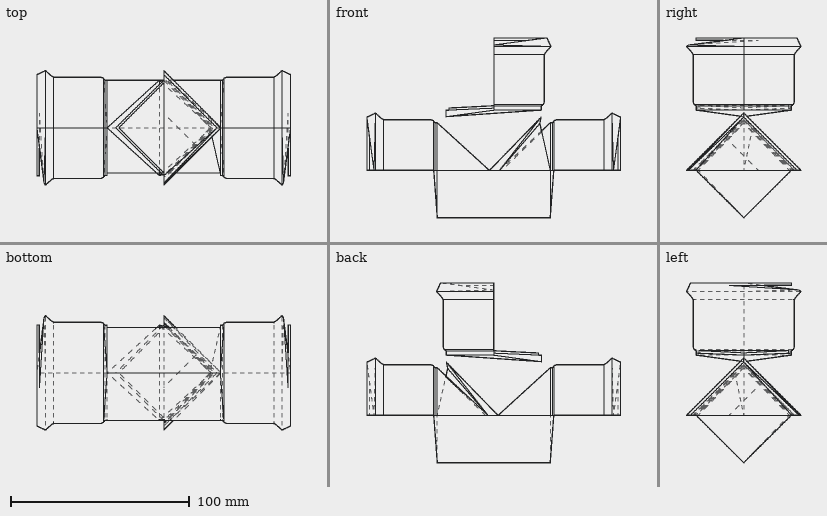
import cadquery as cq

half_run = 71.0
branch_height = 74.1
bead_radius = 32.1
mouth_radius = 29.8
sleeve_radius = 28.4
neck_radius = 26.7
sleeve_length = 39.3

bead_back = 4.8
bead_foot_back = 8.1
plain_start_back = 9.4
plain_end_back = 35.8
shoulder_back = 37.2
neck_back = 38.0
foot_step = 0.7
shoulder_drop = 0.5

plate_thickness = 1.4
plate_front_reach = 26.8
cut_back = 4.0
cut_reach = 31.0

saddle_half_length = half_run - sleeve_length
saddle_top_half_length = 33.7
saddle_depth = 26.5
saddle_front_reach = 25.4
valley_x = -2.4
roof_start_x = 3.3
peak_x = 26.5
peak_height = 29.8
slope_x = 25.8
slope_height = 26.3

skirt_tip = 26.8
skirt_inner_tip = 25.1
skirt_low = 30.0
skirt_tip_top = 33.7
skirt_inner_top = 35.0
skirt_back_top = 36.2


def polyhedron(points, faces):
    """Solid with flat faces, each given as the names of its corners in order."""
    flat_faces = []
    for corners in faces:
        outline = cq.Wire.makePolygon([cq.Vector(*points[name]) for name in corners], close=True)
        flat_faces.append(cq.Face.makeFromWires(outline))
    return cq.Workplane(cq.Solid.makeSolid(cq.Shell.makeShell(flat_faces)).fix())


def pyramid(base, apex):
    """Pyramid on a base polygon in the plane z = 0."""
    points = {f"b{i}": (x, y, 0) for i, (x, y) in enumerate(base)}
    names = list(points)
    sides = [(name, names[i - 1], "apex") for i, name in enumerate(names)]
    points["apex"] = apex
    return polyhedron(points, [names] + sides)


def triangle_wire(x, radius):
    """Right-angled section with its flat side on z = 0 and its ridge at z = radius."""
    corners = [(x, -radius, 0), (x, radius, 0), (x, 0, radius)]
    return cq.Wire.makePolygon([cq.Vector(*corner) for corner in corners], close=True)


def sleeve_lip():
    """Lip between the bead and the mouth, cut back on its -Y side."""
    points = {
        "bead_back": (-bead_back, bead_radius, 0),
        "bead_ridge": (-bead_back, 0, bead_radius),
        "bead_front": (-bead_back, -bead_radius, 0),
        "mouth_back": (0, mouth_radius, 0),
        "mouth_ridge": (0, 0, mouth_radius),
        "cut_front": (-cut_back, -cut_reach, 0),
    }
    return polyhedron(points, [
        ("bead_back", "bead_ridge", "bead_front"),
        ("bead_back", "mouth_back", "mouth_ridge", "bead_ridge"),
        ("bead_ridge", "mouth_ridge", "cut_front"),
        ("bead_ridge", "cut_front", "bead_front"),
        ("mouth_back", "cut_front", "mouth_ridge"),
        ("bead_back", "bead_front", "cut_front", "mouth_back"),
    ])


def mouth_plate():
    """Thin triangular plate closing the mouth."""
    outline = [(mouth_radius, 0), (0, mouth_radius), (-plate_front_reach, 0)]
    return cq.Workplane("YZ").polyline(outline).close().extrude(-plate_thickness)


def sleeve():
    """Sleeve along +X with its mouth at x = 0 and its ridge towards +Z."""
    stations = [
        (bead_back, bead_radius),
        (bead_foot_back, sleeve_radius + foot_step),
        (plain_start_back, sleeve_radius),
        (plain_end_back, sleeve_radius),
        (shoulder_back, sleeve_radius - shoulder_drop),
        (neck_back, neck_radius),
        (sleeve_length, neck_radius),
    ]
    tube = None
    for (back_a, radius_a), (back_b, radius_b) in zip(stations, stations[1:]):
        wires = [triangle_wire(-back_a, radius_a), triangle_wire(-back_b, radius_b)]
        stage = cq.Workplane(cq.Solid.makeLoft(wires, True))
        tube = stage if tube is None else tube.union(stage)
    return tube.union(sleeve_lip()).union(mouth_plate())


def branch_skirt():
    """Sloping skirt under the branch sleeve, reaching out to -X."""
    neck_height = branch_height - sleeve_length
    points = {
        "right": (neck_radius, 0, skirt_tip_top),
        "right_top": (neck_radius, 0, neck_height),
        "back": (0, neck_radius, skirt_tip_top),
        "back_top": (0, neck_radius, neck_height),
        "front": (0, -neck_radius, skirt_tip_top),
        "front_top": (0, -neck_radius, neck_height),
        "tip_low": (-skirt_tip, 0, skirt_low),
        "tip_top": (-skirt_tip, 0, skirt_tip_top),
    }
    rim = polyhedron(points, [
        ("right_top", "back_top", "front_top"),
        ("right", "right_top", "back_top", "back"),
        ("right", "front", "front_top", "right_top"),
        ("back_top", "tip_top", "front_top"),
        ("back", "back_top", "tip_top"),
        ("back", "tip_top", "tip_low"),
        ("front", "tip_top", "front_top"),
        ("front", "tip_low", "tip_top"),
        ("right", "back", "tip_low"),
        ("right", "tip_low", "front"),
    ])
    return rim.union(skirt_cover())


def skirt_cover():
    """Upper layer of the skirt, set in from its tip."""
    reach = skirt_inner_tip
    points = {
        "back": (0, reach, skirt_tip_top),
        "front": (0, -reach, skirt_tip_top),
        "tip": (-reach, 0, skirt_tip_top),
        "back_top": (0, reach, skirt_back_top),
        "front_top": (0, -reach, skirt_back_top),
        "tip_top": (-reach, 0, skirt_inner_top),
    }
    return polyhedron(points, [
        ("back", "front", "tip"),
        ("back_top", "tip_top", "front_top"),
        ("back", "tip", "tip_top", "back_top"),
        ("front", "front_top", "tip_top", "tip"),
        ("back", "back_top", "front_top", "front"),
    ])


def saddle_trough():
    """Lower half of the saddle: a V-section with sloping ends and a set-back -Y face."""
    ends = (
        cq.Workplane("YZ")
        .polyline([(-neck_radius, 0), (neck_radius, 0), (0, -saddle_depth)]).close()
        .extrude(saddle_top_half_length, both=True)
    )
    side = [
        (-saddle_top_half_length, 0), (saddle_top_half_length, 0),
        (saddle_half_length, -saddle_depth), (-saddle_half_length, -saddle_depth),
    ]
    slope = cq.Workplane("XZ").polyline(side).close().extrude(neck_radius, both=True)
    set_back = (
        cq.Workplane("YZ")
        .polyline([(-neck_radius, 0), (-saddle_front_reach, 0), (0, -saddle_depth)]).close()
        .extrude(saddle_half_length, both=True)
    )
    return ends.intersect(slope).cut(set_back)


def notch_wall():
    """Leaning wall on the right of the notch, standing out from the slope behind it."""
    points = {
        "foot_back": (valley_x, neck_radius, 0),
        "foot_front": (valley_x, -neck_radius, 0),
        "heel_back": (roof_start_x, saddle_front_reach, 0),
        "heel_front": (roof_start_x, -saddle_front_reach, 0),
        "peak": (peak_x, 0, peak_height),
        "slope_tip": (slope_x, 0, slope_height),
    }
    return polyhedron(points, [
        ("foot_back", "foot_front", "peak"),
        ("heel_back", "slope_tip", "heel_front"),
        ("foot_front", "heel_front", "peak"),
        ("heel_front", "slope_tip", "peak"),
        ("foot_back", "peak", "heel_back"),
        ("heel_back", "peak", "slope_tip"),
        ("foot_back", "heel_back", "heel_front", "foot_front"),
    ])


def saddle():
    """Trough with a wedge on each side of the V-shaped notch."""
    end = saddle_half_length
    width = neck_radius
    front = saddle_front_reach
    left_wedge = pyramid(
        [(-end, width), (-end, 0), (valley_x, -width), (valley_x, width)], (-end, 0, width)
    )
    right_slope = pyramid(
        [(roof_start_x, front), (roof_start_x, -front), (end, -front), (end, front)],
        (slope_x, 0, slope_height),
    )
    right_roof = pyramid([(roof_start_x, width), (end, 0), (end, width)], (end, 0, width))
    return saddle_trough().union(left_wedge).union(right_slope).union(right_roof).union(notch_wall())


right_sleeve = sleeve().translate((half_run, 0, 0))
run_sleeves = []
for body in (right_sleeve, right_sleeve.mirror("YZ")):
    run_sleeves.append(body.val())

upright = sleeve().rotate((0, 0, 0), (0, 1, 0), -90).mirror("YZ")
branch = upright.translate((0, 0, branch_height)).union(branch_skirt())

centre = saddle()

result = cq.Compound.makeCompound([centre.val(), *run_sleeves, branch.val()])